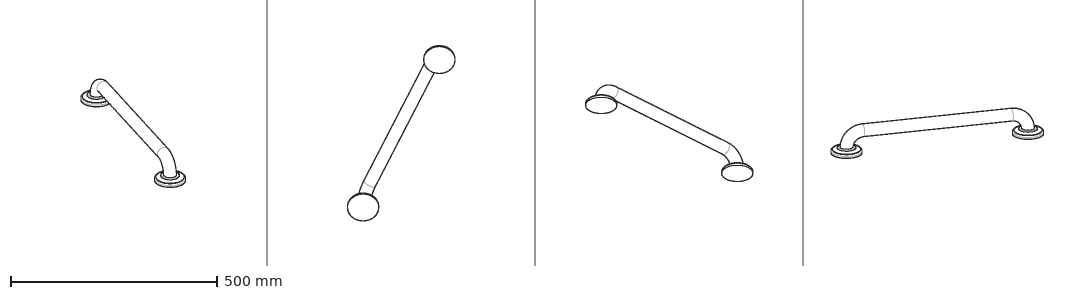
import cadquery as cq

overall_length = 533.4
overall_height = 69.85

tube_diameter = 31.75
bend_radius = 41.275

flange_diameter = 76.2
rim_wall_height = 4.7625
rim_round_radius = 3.5
rim_step_height = 1.5
dish_sag = 0.7
hub_radius = 22.8
hub_height = 15.3
hub_round_radius = 2.1
hub_step_height = 0.6

flange_radius = flange_diameter / 2
tube_radius = tube_diameter / 2
post_offset = overall_length / 2 - flange_radius
tube_axis_height = overall_height - tube_radius
straight_half_length = post_offset - bend_radius
bend_start_height = tube_axis_height - bend_radius
rim_step_radius = flange_radius - rim_round_radius
rim_round_top = rim_wall_height + rim_round_radius
dish_outer_height = rim_round_top + rim_step_height
hub_top_radius = hub_radius - hub_round_radius
hub_round_base = hub_height - hub_round_radius
dish_inner_height = hub_round_base - hub_step_height


def make_flange(x_position):
    """Turned flange standing on Z = 0, centred under one end of the tube."""
    dish_middle = (
        (rim_step_radius + hub_radius) / 2,
        (dish_outer_height + dish_inner_height) / 2 - dish_sag,
    )
    profile = (
        cq.Workplane("XZ")
        .lineTo(flange_radius, 0)
        .lineTo(flange_radius, rim_wall_height)
        .tangentArcPoint((rim_step_radius, rim_round_top), relative=False)
        .lineTo(rim_step_radius, dish_outer_height)
        .threePointArc(dish_middle, (hub_radius, dish_inner_height))
        .lineTo(hub_radius, hub_round_base)
        .tangentArcPoint((hub_top_radius, hub_height), relative=False)
        .lineTo(0, hub_height)
        .close()
    )
    flange = profile.revolve(360, (0, 0, 0), (0, 1, 0))
    return flange.translate((x_position, 0, 0))


def make_tube():
    """Solid bar swept up from one flange, across, and down to the other."""
    path = (
        cq.Workplane("XZ")
        .moveTo(-post_offset, 0)
        .lineTo(-post_offset, bend_start_height)
        .tangentArcPoint((-straight_half_length, tube_axis_height), relative=False)
        .lineTo(straight_half_length, tube_axis_height)
        .tangentArcPoint((post_offset, bend_start_height), relative=False)
        .lineTo(post_offset, 0)
    )
    section = cq.Workplane("XY").center(-post_offset, 0).circle(tube_radius)
    return section.sweep(path)


result = make_tube()
for flange_x in (-post_offset, post_offset):
    result = result.union(make_flange(flange_x))